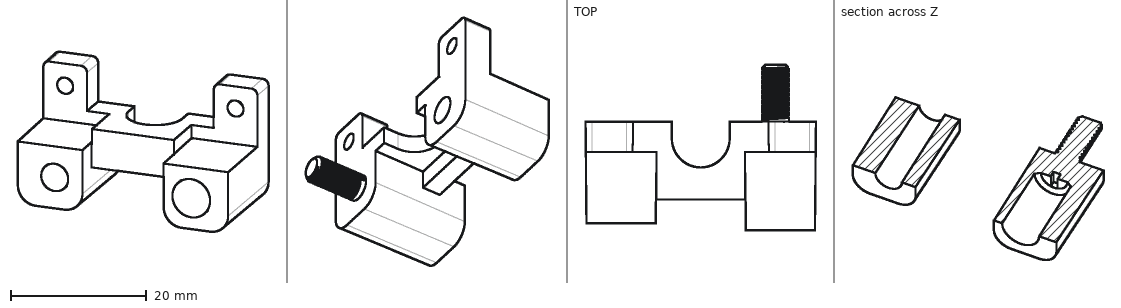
import cadquery as cq
import math


half_width = 17.0
draft_angle = 0.5

foot_inner_x = 6.5
foot_top_z = 10.0
foot_corner_radius = 3.0
left_foot_length = 15.0
right_foot_length = 16.0

tab_width = 7.0
tab_thickness = 4.5
tab_top_z = 19.0
tab_corner_radius = 1.0
tab_hole_diameter = 2.5
tab_hole_x = half_width - tab_width / 2
tab_hole_z = 15.5

bridge_bottom_z = 6.0
bridge_top_z = 12.0
bridge_depth = 11.5
bridge_wall = 3.0
notch_radius = 4.25
notch_depth = 6.73

bore_x = 11.0
bore_z = 5.0
left_bore_front_diameter = 4.3
left_bore_rear_diameter = 4.15
screw_bore_front_diameter = 6.0
screw_bore_rear_diameter = 5.88
screw_seat_diameter = 4.3
screw_seat_y = -tab_thickness
screw_cone_length = 0.5

screw_diameter = 4.0
screw_protrusion = 8.4
screw_tip_chamfer = 0.5
slot_width = 1.1
slot_depth = 1.0
thread_pitch = 0.7
thread_depth = 0.3
thread_mouth_width = 0.4
thread_root_width = 0.1
thread_start_y = 0.45

overrun = 0.35
overlap = 0.35


def box_between(x_range, y_range, z_range):
    """Box spanning the given limits along each axis."""
    size = [limits[1] - limits[0] for limits in (x_range, y_range, z_range)]
    corner = (x_range[0], y_range[0], z_range[0])
    return cq.Workplane("XY").box(*size, centered=False).translate(corner)


def turned(x, z, profile):
    """Solid of revolution about the Y direction through (x, z), from (radius, y) points."""
    start_y = profile[0][1]
    end_y = profile[-1][1]
    outline = [(0, start_y)] + profile + [(0, end_y)]
    solid = cq.Workplane("XY").polyline(outline).close().revolve(360, (0, 0, 0), (0, 1, 0))
    return solid.translate((x, 0, z))


def drafted_block(x_range, z_range, length, rounded_edges, radius):
    """Block from y = 0 toward -Y, with the selected edges rounded and every side drafted."""
    straight = box_between(x_range, (-length, 0), z_range).edges(rounded_edges).fillet(radius)
    profile = straight.faces(">Y").wires().val()
    return cq.Workplane("XZ").add(profile).toPending().extrude(length, taper=draft_angle)


def make_foot(length):
    """Right-hand foot with rounded lower corners."""
    x_range = (foot_inner_x, half_width)
    return drafted_block(x_range, (0, foot_top_z), length, "|Y and <Z", foot_corner_radius)


def make_tab():
    """Right-hand tab with rounded upper corners and a plain hole, rooted deep in the foot."""
    x_range = (half_width - tab_width, half_width)
    z_range = (foot_corner_radius, tab_top_z)
    tab = drafted_block(x_range, z_range, tab_thickness, "|Y and >Z", tab_corner_radius)
    radius = tab_hole_diameter / 2
    hole = turned(tab_hole_x, tab_hole_z, [(radius, -tab_thickness - overrun), (radius, overrun)])
    return tab.cut(hole)


def make_side(foot_length):
    """Right-hand foot, tab and the step that ties them to the bridge."""
    step = box_between(
        (foot_inner_x, tab_hole_x),
        (-tab_thickness, 0),
        (foot_top_z - overlap, bridge_top_z),
    )
    return make_foot(foot_length).union(make_tab()).union(step)


def make_bridge():
    """L-shaped bridge: a slab with a notch open toward the rear and a lip along its front."""
    reach = foot_inner_x + overlap
    hidden_top_z = foot_top_z - overlap
    depth = (-bridge_depth, 0)
    lip_depth = (-bridge_depth, bridge_wall - bridge_depth)
    slab_bottom_z = bridge_top_z - bridge_wall
    slab = box_between((-foot_inner_x, foot_inner_x), depth, (slab_bottom_z, bridge_top_z))
    slab_ends = box_between((-reach, reach), depth, (slab_bottom_z, hidden_top_z))
    lip = box_between((-reach, reach), lip_depth, (bridge_bottom_z, hidden_top_z))
    arc_y = notch_radius - notch_depth
    notch = (
        cq.Workplane("XY")
        .moveTo(-notch_radius, overrun)
        .lineTo(-notch_radius, arc_y)
        .threePointArc((0, -notch_depth), (notch_radius, arc_y))
        .lineTo(notch_radius, overrun)
        .close()
        .extrude(tab_top_z)
    )
    return slab.union(slab_ends).union(lip).cut(notch)


def make_left_bore():
    """Slightly tapered through hole of the left foot."""
    front = (left_bore_front_diameter / 2, -left_foot_length)
    rear = (left_bore_rear_diameter / 2, 0)
    return turned(-bore_x, bore_z, [front, rear])


def make_screw_bore():
    """Slightly tapered blind bore of the right foot, closing by a cone onto the end of the screw."""
    profile = [
        (screw_bore_front_diameter / 2, -right_foot_length),
        (screw_bore_rear_diameter / 2, screw_seat_y - screw_cone_length),
        (screw_seat_diameter / 2, screw_seat_y),
    ]
    return turned(bore_x, bore_z, profile)


def make_slot():
    """Screwdriver slot, as long as the seat is wide."""
    radius = screw_seat_diameter / 2
    slot_floor_y = screw_seat_y + slot_depth
    seat = turned(bore_x, bore_z, [(radius, screw_seat_y), (radius, slot_floor_y)])
    strip = box_between(
        (bore_x - slot_width / 2, bore_x + slot_width / 2),
        (screw_seat_y, slot_floor_y),
        (bore_z - radius, bore_z + radius),
    )
    return seat.intersect(strip)


def make_thread_groove():
    """Right-handed helical groove around +Z, long enough to run past the screw tip."""
    radius = screw_diameter / 2
    height = screw_protrusion - thread_start_y + thread_pitch
    helix = cq.Wire.makeHelix(thread_pitch, height, radius)
    flank_slope = (thread_mouth_width - thread_root_width) / 2 / thread_depth
    clearance = thread_depth / 3
    outer_half = thread_mouth_width / 2 + clearance * flank_slope
    section = [
        (radius - thread_depth, -thread_root_width / 2),
        (radius + clearance, -outer_half),
        (radius + clearance, outer_half),
        (radius - thread_depth, thread_root_width / 2),
    ]
    return cq.Workplane("XZ").polyline(section).close().sweep(cq.Workplane(obj=helix), isFrenet=True)


def make_screw():
    """Threaded shank behind the right foot, chamfered at its tip."""
    radius = screw_diameter / 2
    spare_length = 3 * thread_pitch
    blank = cq.Workplane("XY").circle(radius).extrude(screw_protrusion + spare_length)
    groove = make_thread_groove().rotate((0, 0, 0), (0, 0, 1), 180).translate((0, 0, thread_start_y))
    threaded = blank.cut(groove)
    threaded = threaded.rotate((0, 0, 0), (1, 0, 0), -90).translate((bore_x, 0, bore_z))
    profile = [
        (radius, 0),
        (radius, screw_protrusion - screw_tip_chamfer),
        (radius - screw_tip_chamfer, screw_protrusion),
    ]
    return threaded.intersect(turned(bore_x, bore_z, profile))


right_side = make_side(right_foot_length)
left_side = make_side(left_foot_length).mirror("YZ")
body = right_side.union(left_side).union(make_bridge())
body = body.cut(make_left_bore()).cut(make_screw_bore()).cut(make_slot())
result = body.union(make_screw())